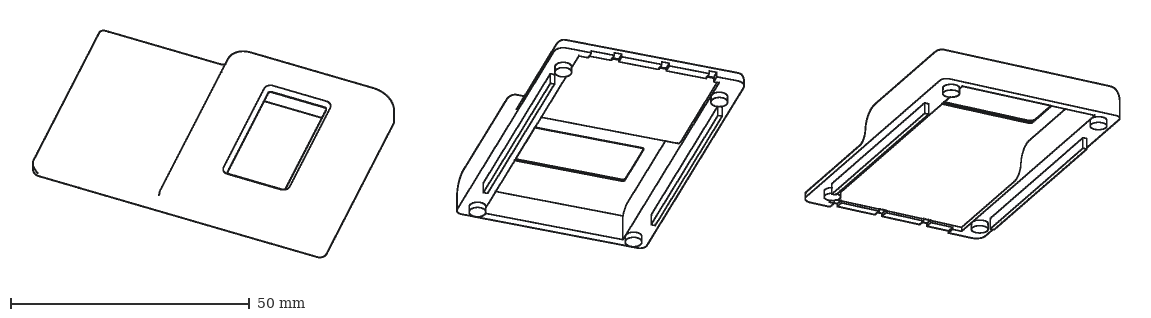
import cadquery as cq
import math

length = 66.0
width = 42.0
height = 8.6
flange_height = 2.05

concave_radius = 2.0
convex_radius = 5.0
step_start = 26.5
edge_radius = 1.5
front_corner_radius = 2.1

skin = 1.1
side_wall = 5.5
end_wall = 2.0

overcut = 0.65

window_length = 13.0
window_width = 24.55
window_center_x = 47.3
window_chamfer = 0.9
window_corner_radius = 0.5

lip_start = 10.15
lip_end = 53.4
lip_thickness = 0.9
lip_drop = 2.45
peg_diameter = 3.5
peg_drop = 1.3
peg_inset = side_wall - peg_diameter / 2
peg_rows_x = (6.9, length - peg_inset)
lip_inset = side_wall - peg_diameter

shallow_slot_depth = 0.45
shallow_slot_ends_y = (-14.3, 13.4)
deep_notch_depth = 1.1
deep_notch_width = 1.65
deep_notch_pitch = 10.5
deep_notch_first_y = shallow_slot_ends_y[0] + deep_notch_width / 2
deep_notch_count = 3


def box(x_range, y_range, z_range):
    """Axis-aligned block between pairs of limits."""
    spans = [high - low for low, high in (x_range, y_range, z_range)]
    return (
        cq.Workplane("XY")
        .box(*spans, centered=False)
        .translate((x_range[0], y_range[0], z_range[0]))
    )


def stepped_prism(inset, half_width):
    """Extruded step profile with its upper outline moved inwards by `inset`."""
    low = flange_height - inset
    high = height - inset
    foot_radius = concave_radius + inset
    crest_radius = convex_radius - inset
    center_rise = height - convex_radius - flange_height - concave_radius
    center_run = math.sqrt((concave_radius + convex_radius) ** 2 - center_rise**2)
    foot_center = (step_start, flange_height + concave_radius)
    crest_center = (step_start + center_run, height - convex_radius)
    meet_angle = math.atan2(center_rise, center_run)
    foot_mid_angle = (meet_angle - math.pi / 2) / 2
    crest_mid_angle = (meet_angle + math.pi + math.pi / 2) / 2

    def on_arc(center, radius, angle):
        """Point on a profile arc at an angle measured from +X towards +Z."""
        return (center[0] + radius * math.cos(angle), center[1] + radius * math.sin(angle))

    return (
        cq.Workplane("XZ")
        .moveTo(inset, 0)
        .lineTo(inset, low)
        .lineTo(step_start, low)
        .threePointArc(
            on_arc(foot_center, foot_radius, foot_mid_angle),
            on_arc(foot_center, foot_radius, meet_angle),
        )
        .threePointArc(
            on_arc(crest_center, crest_radius, crest_mid_angle),
            (crest_center[0], high),
        )
        .lineTo(length - convex_radius, high)
        .radiusArc((length - inset, height - convex_radius), crest_radius)
        .lineTo(length - inset, 0)
        .close()
        .extrude(half_width, both=True)
    )


def outer_body():
    """Solid body with rounded side edges and rounded vertical front corners."""
    body = stepped_prism(0, width / 2)
    side_profile = body.faces("<Y or >Y").edges("not (<Z or <X)")
    rounded = side_profile.fillet(edge_radius)
    plan = box((0, length), (-width / 2, width / 2), (-overcut, height + overcut))
    return rounded.intersect(plan.edges("|Z and <X").fillet(front_corner_radius))


def window_cutter():
    """Straight opening that flares out at 45 degrees up to the top face."""
    outline = cq.Sketch().rect(window_length, window_width).vertices().fillet(window_corner_radius)
    window_center = cq.Workplane("XY").center(window_center_x, 0)
    straight = window_center.placeSketch(outline).extrude(height)
    flare_base = window_center.workplane(offset=height - window_chamfer)
    flare = flare_base.placeSketch(outline).extrude(window_chamfer, taper=-45)
    return straight.union(flare)


def add_lips_and_pegs(body):
    """Strips and round pegs on the rim, standing out below it along both sides."""
    for side in (-1, 1):
        outer_y = side * (width / 2 - lip_inset)
        lip_y = sorted((outer_y, outer_y - side * lip_thickness))
        body = body.union(box((lip_start, lip_end), lip_y, (-lip_drop, 0)))
        for x in peg_rows_x:
            peg_base = cq.Workplane("XY").center(x, side * (width / 2 - peg_inset))
            body = body.union(peg_base.circle(peg_diameter / 2).extrude(-peg_drop))
    return body


def front_edge_openings():
    """Wide shallow slot with deeper notches, cut upwards from the rim of the front wall."""
    through_wall = (-overcut, end_wall)
    cutter = box(through_wall, shallow_slot_ends_y, (-overcut, shallow_slot_depth))
    for i in range(deep_notch_count):
        y = deep_notch_first_y + i * deep_notch_pitch
        y_range = (y - deep_notch_width / 2, y + deep_notch_width / 2)
        cutter = cutter.union(box(through_wall, y_range, (-overcut, deep_notch_depth)))
    return cutter


cavity_ends = box((end_wall, length - end_wall), (-width / 2, width / 2), (-overcut, height))
cavity = stepped_prism(skin, width / 2 - side_wall).intersect(cavity_ends)
shell = outer_body().cut(cavity).cut(window_cutter())
result = add_lips_and_pegs(shell).cut(front_edge_openings())